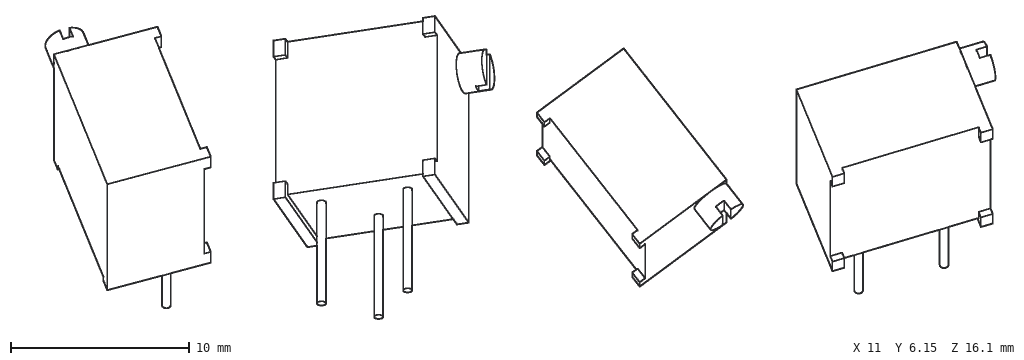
import cadquery as cq

overall_height = 16.09
body_width = 9.54
body_depth = 6.13
body_height = 10.05
foot_width = 0.7
foot_height = 0.37
pad_thickness = 0.39
pad_height = 1.03

screw_diameter = 2.3
screw_length = 1.51
screw_overhang = 0.02
screw_radius = screw_diameter / 2
screw_y = screw_radius - screw_overhang
screw_z = body_height - screw_radius
slot_width = 0.58
slot_depth = 0.65

pin_diameter = 0.51
pin_bottom = body_height - overall_height
pin_pitch = 2.55
middle_pin_x = 4.78
middle_pin_y = 1.69
outer_pin_y = middle_pin_y + pin_pitch


def box(x, y, z, width, depth, height):
    """Box given by its lowest corner and its size."""
    return cq.Workplane("XY").box(width, depth, height, centered=False).translate((x, y, z))


def make_housing():
    recess_width = body_width - 2 * foot_width
    housing = box(0, 0, 0, body_width, body_depth, body_height)
    housing = housing.cut(box(foot_width, 0, 0, recess_width, body_depth, foot_height))
    back_y = body_depth - pad_thickness
    housing = housing.cut(box(foot_width, back_y, 0, recess_width, pad_thickness, body_height))
    side_recess_height = body_height - 2 * pad_height
    return housing.cut(box(0, back_y, pad_height, body_width, pad_thickness, side_recess_height))


def make_screw():
    screw = (
        cq.Workplane("YZ", origin=(-screw_length, screw_y, screw_z))
        .circle(screw_radius)
        .extrude(screw_length)
    )
    slot = box(
        -screw_length, screw_y - slot_width / 2, screw_z - screw_radius,
        slot_depth, slot_width, screw_diameter,
    )
    return screw.cut(slot)


def make_pin(x, y):
    return (
        cq.Workplane("XY", origin=(x, y, pin_bottom))
        .circle(pin_diameter / 2)
        .extrude(foot_height - pin_bottom)
    )


result = make_housing().union(make_screw())
for step in (-1, 0, 1):
    pin_y = middle_pin_y if step == 0 else outer_pin_y
    result = result.union(make_pin(middle_pin_x + step * pin_pitch, pin_y))